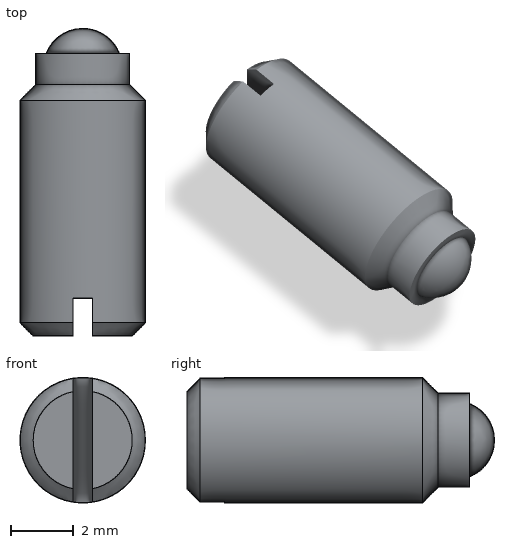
import cadquery as cq
import math

total_length = 9.8
body_radius = 2.0

slot_end_chamfer = 0.42
shoulder_height = 0.5
nose_length = 1.0
ball_protrusion = 0.79

nose_radius = body_radius - shoulder_height
ball_radius = 1.25

slot_width = 0.62
slot_depth = 1.2

nose_end = total_length - ball_protrusion
shoulder_end = nose_end - nose_length
body_end = shoulder_end - shoulder_height

ball_center = total_length - ball_radius
ball_rim_radius = math.sqrt(ball_radius**2 - (nose_end - ball_center) ** 2)
half_rim_angle = math.asin(ball_rim_radius / ball_radius) / 2
ball_arc_middle = (
    ball_radius * math.sin(half_rim_angle),
    ball_center + ball_radius * math.cos(half_rim_angle),
)


def make_plunger():
    """Revolve the half outline (radius, station) of body, nose and ball about Y."""
    return (
        cq.Workplane("XY")
        .moveTo(0, 0)
        .lineTo(body_radius - slot_end_chamfer, 0)
        .lineTo(body_radius, slot_end_chamfer)
        .lineTo(body_radius, body_end)
        .lineTo(nose_radius, shoulder_end)
        .lineTo(nose_radius, nose_end)
        .lineTo(ball_rim_radius, nose_end)
        .threePointArc(ball_arc_middle, (0, total_length))
        .close()
        .revolve(360, (0, 0, 0), (0, 1, 0))
    )


def make_slot():
    """Slot across the full diameter, parallel to Z and open at Y = 0."""
    return cq.Workplane("XY").box(
        slot_width, slot_depth, 2 * body_radius, centered=(True, False, True)
    )


result = make_plunger().cut(make_slot())